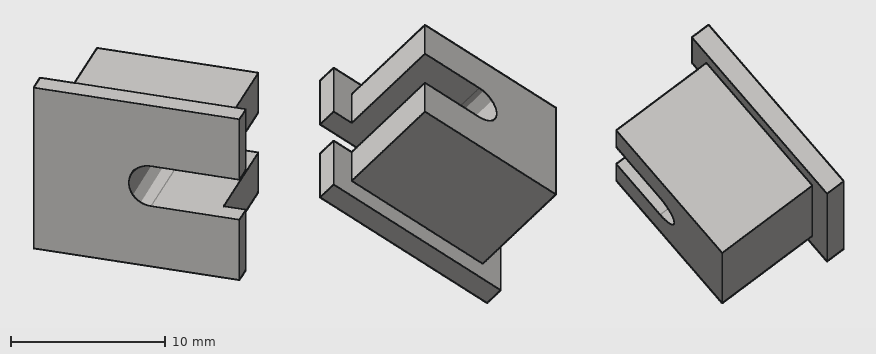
import cadquery as cq

flange_width = 14.0
flange_height = 11.95
flange_thickness = 1.4

total_depth = 8.9
block_width = 10.98
block_height = 8.88

slot_height = 2.97
slot_length = 7.52


def centred_box(width, depth, height):
    """Box centred in X and Z that starts at Y = 0 and extends along +Y."""
    return cq.Workplane("XY").box(width, depth, height, centered=(True, False, True))


def open_slot():
    """Slot cutter running through the full depth of the part."""
    radius = slot_height / 2
    open_end = flange_width / 2
    arc_centre = open_end - slot_length + radius
    return (
        cq.Workplane("XZ")
        .moveTo(open_end, radius)
        .lineTo(arc_centre, radius)
        .threePointArc((arc_centre - radius, 0), (arc_centre, -radius))
        .lineTo(open_end, -radius)
        .close()
        .extrude(-total_depth)
    )


flange = centred_box(flange_width, flange_thickness, flange_height)
block = centred_box(block_width, total_depth, block_height)
result = flange.union(block).cut(open_slot())